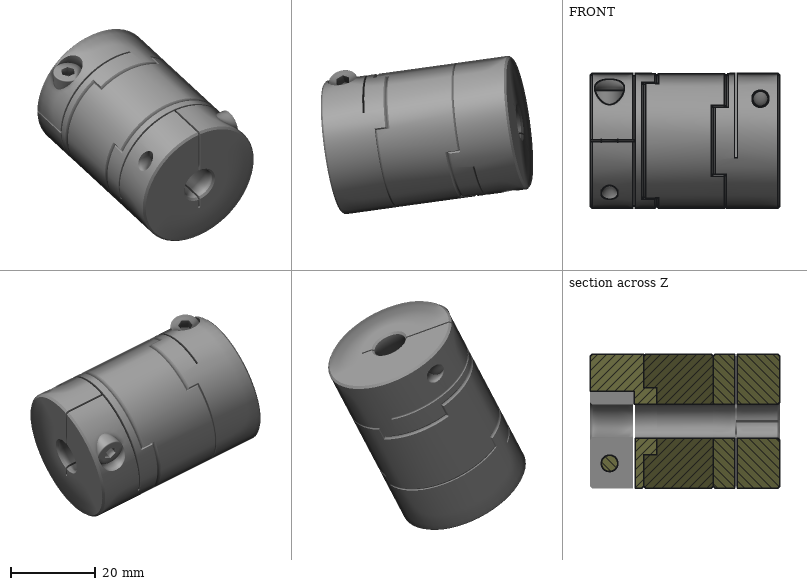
import cadquery as cq


length = 45.0
outer_radius = 15.998
bore_radius = 4.0
edge_chamfer = 0.5
end_x = -length / 2

shoulder_x = -9.75
tongue_height = 3.05
tongue_width = 15.98
tongue_tip_x = shoulder_x + tongue_height

slit_width = 0.5
cross_slit_x = -12.1
cross_slit_end_y = 4.0
clamp_slit_end_y = 7.0

screw_x = -17.9
screw_y = -10.0
shank_radius = 2.002
tip_chamfer = 0.2
tip_z = -10.05
head_radius = 3.5
head_height = 4.0
head_rounding = 0.25
head_top_z = 12.0
socket_across_corners = 3.45
socket_depth = 2.5
head_seat_z = head_top_z - head_height

reach = 2 * outer_radius


def x_cylinder(radius, start_x, stop_x):
    """Cylinder on the coupling axis."""
    return cq.Workplane("YZ", origin=(start_x, 0, 0)).circle(radius).extrude(stop_x - start_x)


def block(x_range, y_range, z_range):
    """Box given by its limits along each axis."""
    sizes = [high - low for low, high in (x_range, y_range, z_range)]
    corner = (x_range[0], y_range[0], z_range[0])
    return cq.Workplane("XY", origin=corner).box(*sizes, centered=False)


def z_cylinder(radius, bottom_z, top_z):
    """Cylinder on the clamp screw axis."""
    plane = cq.Workplane("XY", origin=(screw_x, screw_y, bottom_z))
    return plane.circle(radius).extrude(top_z - bottom_z)


def at_far_end(part):
    """Carry a part of the -X hub to the +X end: mirror in X, then a quarter turn that takes +Z to +Y."""
    return part.mirror("YZ").rotate((0, 0, 0), (1, 0, 0), -90)


def tongue_slab():
    """Space that the tongue fills across the whole diameter."""
    half_width = tongue_width / 2
    return block((shoulder_x, tongue_tip_x), (-half_width, half_width), (-reach, reach))


def make_hub():
    body = x_cylinder(outer_radius, end_x, shoulder_x).faces("<X").edges().chamfer(edge_chamfer)

    tongue = x_cylinder(outer_radius, shoulder_x, tongue_tip_x).faces(">X").edges().chamfer(edge_chamfer)
    body = body.union(tongue.intersect(tongue_slab()))

    slit_side = cq.selectors.BoxSelector(
        (shoulder_x - edge_chamfer, -reach, -reach),
        (shoulder_x + edge_chamfer, -tongue_width / 2, reach),
    )
    body = body.edges("%CIRCLE").edges(slit_side).chamfer(edge_chamfer)

    body = body.cut(x_cylinder(bore_radius, end_x, tongue_tip_x))
    body = body.faces("<X").edges("%CIRCLE").edges(cq.selectors.RadiusNthSelector(0)).chamfer(edge_chamfer)

    half_slit = slit_width / 2
    cross_slit_range = (cross_slit_x - half_slit, cross_slit_x + half_slit)
    body = body.cut(block(cross_slit_range, (-reach, cross_slit_end_y), (-reach, reach)))
    body = body.cut(block((end_x, cross_slit_x), (-reach, clamp_slit_end_y), (-half_slit, half_slit)))

    body = body.cut(z_cylinder(shank_radius, -reach, head_seat_z))
    return body.cut(z_cylinder(head_radius, head_seat_z, reach))


def make_screw():
    shank = z_cylinder(shank_radius, tip_z, head_seat_z).faces("<Z").edges().chamfer(tip_chamfer)
    head = z_cylinder(head_radius, head_seat_z, head_top_z).faces(">Z").edges().fillet(head_rounding)
    socket = (
        cq.Workplane("XY", origin=(screw_x, screw_y, head_top_z))
        .transformed(rotate=(0, 0, 90))
        .polygon(6, socket_across_corners)
        .extrude(-socket_depth)
    )
    return shank.union(head).cut(socket)


def make_disc():
    disc = x_cylinder(outer_radius, shoulder_x, -shoulder_x)
    disc = disc.cut(tongue_slab()).cut(at_far_end(tongue_slab()))

    disc = disc.faces("%CYLINDER").edges().chamfer(edge_chamfer)
    return disc.cut(x_cylinder(bore_radius, shoulder_x, -shoulder_x))


hub = make_hub()
screw = make_screw()
disc = make_disc()

hubs = [hub, at_far_end(hub)]
screws = [screw, at_far_end(screw)]

result = cq.Compound.makeCompound([body.val() for body in [*hubs, disc, *screws]])